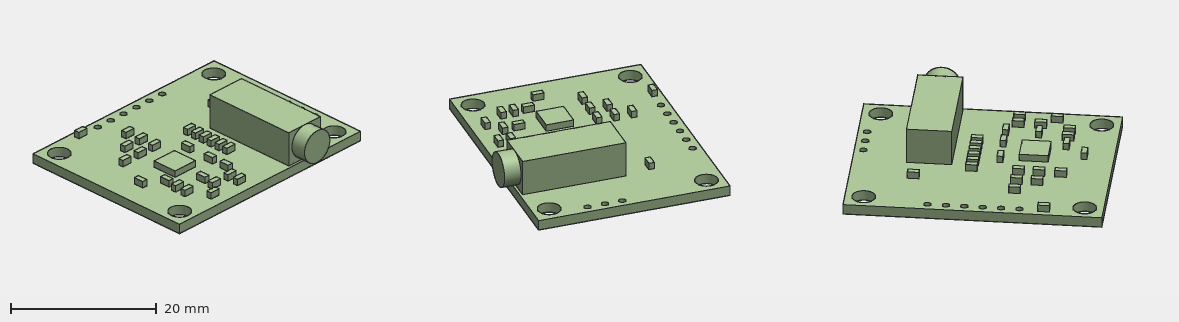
import cadquery as cq

BOARD_X = 28.0
BOARD_Y = 35.75
BOARD_T = 1.5

MOUNT_DIA = 3.25
MOUNT_SPACING_X = 23.0
MOUNT_SPACING_Y = 30.5

PIN_DIA = 1.0
PIN_PITCH = 2.54
PIN_EDGE_DISTANCE = 1.27
SIDE_PIN_COUNT = 6
SIDE_PIN_FIRST_Y = 11.5
BACK_PIN_COUNT = 3
BACK_PIN_FIRST_X = 15.3

JACK_LEFT_X = 12.5
JACK_FRONT_Y = 22.0
JACK_LENGTH = 15.1
JACK_WIDTH = 6.25
JACK_HEIGHT = 5.25
NOSE_DIA = 5.0
OVERALL_X = 30.0

CHIP_SIZE = 4.0
CHIP_HEIGHT = 1.0
CHIP_X = 16.55
CHIP_Y = 10.9

SMALL_LENGTH = 1.6
SMALL_WIDTH = 0.8
SMALL_HEIGHT = CHIP_HEIGHT

ROW_COUNT = 6
ROW_PITCH = 1.5
ROW_FIRST_X = 11.4
ROW_Y = 19.15

ALONG_X_CENTRES = [
    (14.55, 15.5),
    (18.9, 15.5),
    (21.9, 15.5),
    (21.9, CHIP_Y),
    (19.0, 6.8),
    (16.6, 4.1),
]

ALONG_Y_CENTRES = [
    (8.55, 26.9),
    (24.1, 14.0),
    (25.9, 14.0),
    (24.1, CHIP_Y),
    (25.9, 8.8),
    (5.9, 12.65),
    (8.45, 12.65),
    (11.0, 12.65),
    (8.45, 9.8),
    (11.0, 9.8),
    (11.0, 6.8),
    (21.05, 6.8),
    (22.85, 6.8),
    (1.25, 8.15),
]


def box_on_board(centre, size_x, size_y, height):
    """Box resting on the top face of the board."""
    return (
        cq.Workplane("XY", origin=(*centre, BOARD_T))
        .rect(size_x, size_y)
        .extrude(height)
    )


def make_board():
    """Flat board with its mounting holes and pin holes."""
    board = cq.Workplane("XY").box(BOARD_X, BOARD_Y, BOARD_T, centered=False)
    mount_holes = (
        cq.Workplane("XY", origin=(BOARD_X / 2, BOARD_Y / 2, 0))
        .rect(MOUNT_SPACING_X, MOUNT_SPACING_Y, forConstruction=True)
        .vertices()
        .circle(MOUNT_DIA / 2)
        .extrude(BOARD_T)
    )
    side_pins = [
        (PIN_EDGE_DISTANCE, SIDE_PIN_FIRST_Y + i * PIN_PITCH)
        for i in range(SIDE_PIN_COUNT)
    ]
    back_pins = [
        (BACK_PIN_FIRST_X + i * PIN_PITCH, BOARD_Y - PIN_EDGE_DISTANCE)
        for i in range(BACK_PIN_COUNT)
    ]
    pin_holes = (
        cq.Workplane("XY")
        .pushPoints(side_pins + back_pins)
        .circle(PIN_DIA / 2)
        .extrude(BOARD_T)
    )
    return board.cut(mount_holes).cut(pin_holes)


def make_jack():
    """Jack body and its nose, whose top is level with the top of the body."""
    centre_x = JACK_LEFT_X + JACK_LENGTH / 2
    centre_y = JACK_FRONT_Y + JACK_WIDTH / 2
    body = box_on_board((centre_x, centre_y), JACK_LENGTH, JACK_WIDTH, JACK_HEIGHT)
    jack_right_x = JACK_LEFT_X + JACK_LENGTH
    nose_z = BOARD_T + JACK_HEIGHT - NOSE_DIA / 2
    nose = (
        cq.Workplane("YZ", origin=(jack_right_x, centre_y, nose_z))
        .circle(NOSE_DIA / 2)
        .extrude(OVERALL_X - jack_right_x)
    )
    return body.union(nose)


def make_components():
    """The square chip and all small components, as a list of boxes."""
    row = [(ROW_FIRST_X + i * ROW_PITCH, ROW_Y) for i in range(ROW_COUNT)]
    components = [box_on_board((CHIP_X, CHIP_Y), CHIP_SIZE, CHIP_SIZE, CHIP_HEIGHT)]
    for centre in ALONG_X_CENTRES:
        components.append(box_on_board(centre, SMALL_LENGTH, SMALL_WIDTH, SMALL_HEIGHT))
    for centre in row + ALONG_Y_CENTRES:
        components.append(box_on_board(centre, SMALL_WIDTH, SMALL_LENGTH, SMALL_HEIGHT))
    return components


result = make_board().union(make_jack())
for component in make_components():
    result = result.union(component)